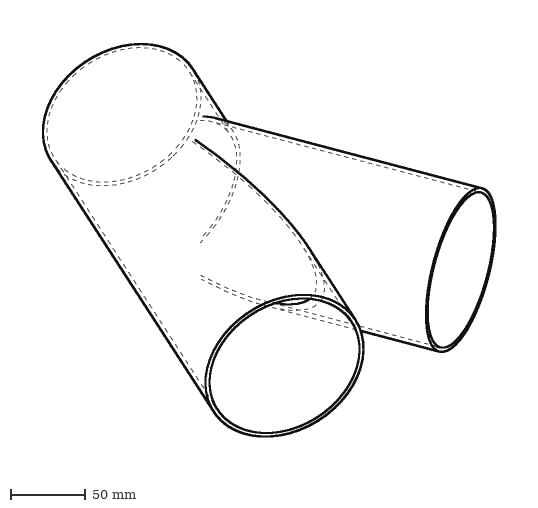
import cadquery as cq
import math

run_length = 312.0
outer_diameter = 114.2
bore_diameter = 108.3
branch_angle = 45.0
branch_offset = 99.0
branch_length = 213.0

run_direction = cq.Vector(1, 0, 0)
branch_direction = cq.Vector(
    math.cos(math.radians(branch_angle)),
    math.sin(math.radians(branch_angle)),
    0,
)
run_start = cq.Vector(-branch_offset, 0, 0)
crossing = cq.Vector(0, 0, 0)


def wye(diameter):
    """Solid run with a solid branch of the same diameter leaving it."""
    radius = diameter / 2
    run = cq.Solid.makeCylinder(radius, run_length, run_start, run_direction)
    branch = cq.Solid.makeCylinder(radius, branch_length, crossing, branch_direction)
    return cq.Workplane(run).union(cq.Workplane(branch))


result = wye(outer_diameter).cut(wye(bore_diameter))